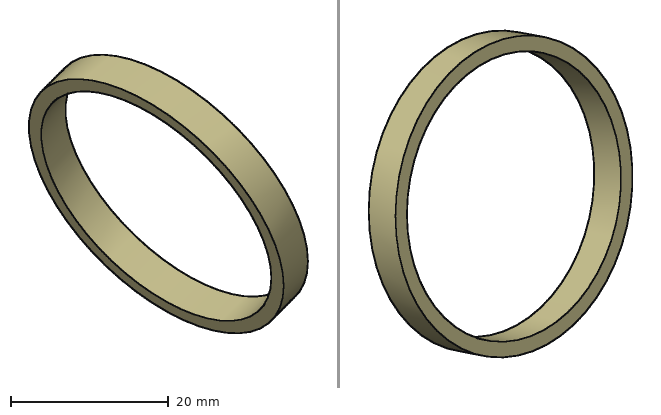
import cadquery as cq

outer_diameter = 41.2
wall_thickness = 2.0
ring_width = 5.0

inner_diameter = outer_diameter - 2 * wall_thickness

result = (
    cq.Workplane("XZ")
    .circle(outer_diameter / 2)
    .circle(inner_diameter / 2)
    .extrude(ring_width)
)